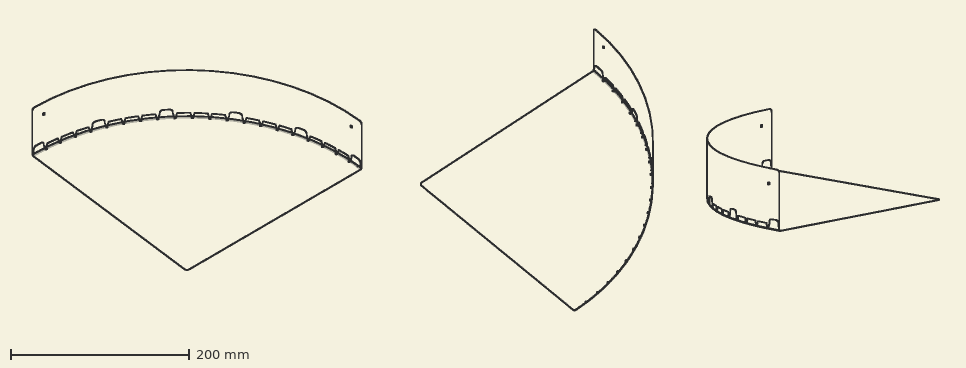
import cadquery as cq
import math

outer_radius = 262.5
total_height = 70.0
sector_angle = 90.0
sheet = 0.5
bend_inner_radius = 0.8
corner_radius = 4.0

tab_count = 21
tab_pitch = 4.3
notch_relief = 0.8
tall_tab_step = 4
tab_root_width = 17.9
tab_neck_width = 14.7
short_tab_height = 6.5
tall_tab_height = 12.0
tall_tab_corner = 4.0

hole_diameter = 2.5
hole_from_top = 17.5
hole_from_end = 17.0

wall_inner_radius = outer_radius - sheet
tab_inner_radius = wall_inner_radius - sheet
bend_outer_radius = bend_inner_radius + sheet
flat_radius = wall_inner_radius - bend_outer_radius
first_tab_angle = (sector_angle - (tab_count - 1) * tab_pitch) / 2
plate_radius = flat_radius - notch_relief
wall_bottom = bend_outer_radius
cutter_margin = 2.5


def radial_plane(angle, radius=0.0):
    """Plane facing outward at this angle from +Y toward -X: local x along the arc, local y up."""
    turn = math.radians(angle)
    outward = cq.Vector(-math.sin(turn), math.cos(turn), 0)
    along = cq.Vector(-math.cos(turn), -math.sin(turn), 0)
    return cq.Plane(origin=outward * radius, xDir=along, normal=outward)


def sweep_sector(profile):
    """Turn a profile in the YZ plane from the +Y axis round to the -X axis."""
    return profile.revolve(sector_angle, (0, 0, 0), (0, 1, 0))


def make_flange_ring():
    """Rim, bend and upright flange as one unbroken ring, at the height of the tall tabs."""
    profile = (
        cq.Workplane("YZ")
        .moveTo(plate_radius, 0)
        .lineTo(flat_radius, 0)
        .radiusArc((wall_inner_radius, bend_outer_radius), -bend_outer_radius)
        .lineTo(wall_inner_radius, tall_tab_height)
        .lineTo(tab_inner_radius, tall_tab_height)
        .lineTo(tab_inner_radius, bend_outer_radius)
        .radiusArc((flat_radius, sheet), bend_inner_radius)
        .lineTo(plate_radius, sheet)
        .close()
    )
    return sweep_sector(profile)


def make_tab_stencil(index):
    """Radial block with the outline of one tab: tapered root, and a rounded upper part if tall."""
    half_root = tab_root_width / 2
    half_neck = tab_neck_width / 2
    start_radius = plate_radius - cutter_margin
    outline = (
        cq.Workplane(radial_plane(first_tab_angle + index * tab_pitch, start_radius))
        .moveTo(-half_root, -cutter_margin)
        .lineTo(half_root, -cutter_margin)
        .lineTo(half_root, bend_outer_radius)
        .lineTo(half_neck, short_tab_height)
    )
    if index % tall_tab_step == 0:
        shoulder = tall_tab_height - tall_tab_corner
        outline = (
            outline.lineTo(half_neck, shoulder)
            .radiusArc((half_neck - tall_tab_corner, tall_tab_height), -tall_tab_corner)
            .lineTo(tall_tab_corner - half_neck, tall_tab_height)
            .radiusArc((-half_neck, shoulder), -tall_tab_corner)
        )
    outline = outline.lineTo(-half_neck, short_tab_height).lineTo(-half_root, bend_outer_radius)
    return outline.close().extrude(outer_radius - start_radius)


def make_rounded_square():
    """Square sheet over the whole sector with its corner at the sector's centre rounded."""
    square = cq.Workplane("XY").rect(-outer_radius, outer_radius, centered=False).extrude(sheet)
    return square.edges("|Z and >X and <Y").fillet(corner_radius)


def make_base():
    """Quarter-disc plate with its curved edge bent up into tabs."""
    plate = sweep_sector(cq.Workplane("YZ").rect(plate_radius, sheet, centered=False))
    plate = plate.intersect(make_rounded_square())
    ring = make_flange_ring()
    for index in range(tab_count):
        plate = plate.union(ring.intersect(make_tab_stencil(index)))
    return plate


def make_wall():
    """Quarter-cylinder wall standing around the tabs."""
    height = total_height - wall_bottom
    profile = cq.Workplane("YZ").moveTo(wall_inner_radius, wall_bottom).rect(sheet, height, centered=False)
    wall = sweep_sector(profile)
    wall = wall.edges("(>X and >Z) or (<Y and >Z)").fillet(corner_radius)
    hole_height = total_height - hole_from_top
    hole_angle = math.degrees(math.asin(hole_from_end / outer_radius))
    for angle in (hole_angle, sector_angle - hole_angle):
        drill = (
            cq.Workplane(radial_plane(angle))
            .center(0, hole_height)
            .circle(hole_diameter / 2)
            .extrude(outer_radius + cutter_margin)
        )
        wall = wall.cut(drill)
    return wall


base = make_base()
wall = make_wall()
result = cq.Compound.makeCompound([base.val(), wall.val()])